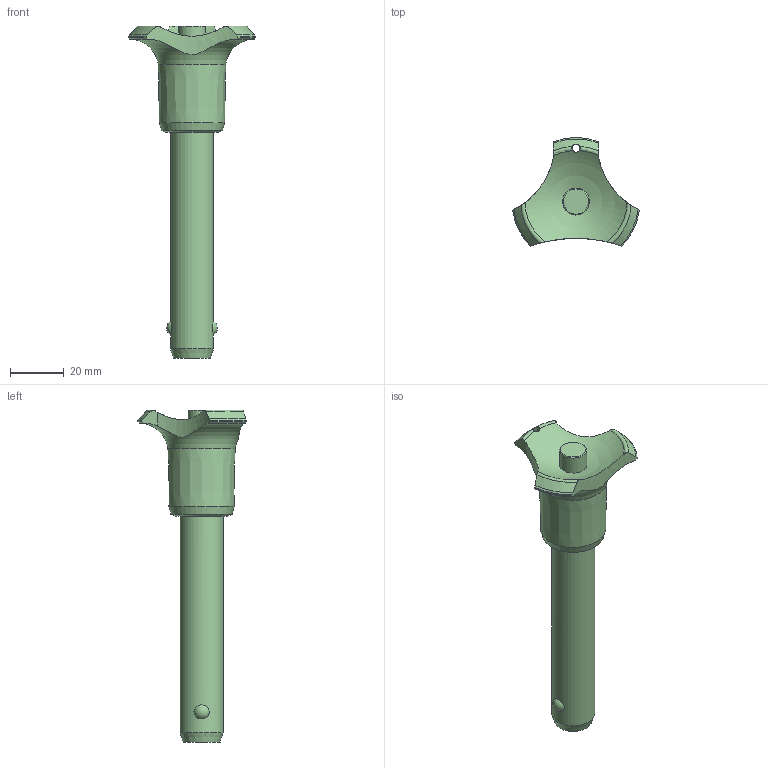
import cadquery as cq
import math


handle_width_x = 47.27
handle_width_y = 40.5
total_length = 123.7
handle_height = 39.6
shank_length = total_length - handle_height

shank_radius = 8.0
tip_radius = 6.9
tip_height = 3.4

ball_radius = 3.0
ball_reach = 9.5
ball_above_tip = 11.2
ball_z = ball_above_tip - shank_length
ball_centre_offset = ball_reach - ball_radius

barrel_top_radius = 12.55
barrel_bottom_radius = 12.15
barrel_top_depth = 14.3
barrel_top_z = handle_height - barrel_top_depth
barrel_bottom_z = 3.6
shoulder_band_radius = 11.4
shoulder_band_z = 0.8
shoulder_radius = 9.8

wing_radius = 23.85
rim_edge_inset = 0.5
rim_top_z = handle_height - 3.2
rim_land_top_z = handle_height - 3.75
rim_land_bottom_z = handle_height - 4.3
rim_bottom_z = handle_height - 4.85
flare_mid_radius = 15.0
flare_mid_z = handle_height - 8.75
lip_outer_radius = 20.6
lip_inner_radius = 19.0
lip_drop = 0.4

dish_floor_radius = 5.0
dish_floor_z = handle_height - 7.2
dish_mid_radius = 12.5
dish_mid_z = handle_height - 4.4

back_wing_half_width = 8.4
side_scallop_inner_y = 16.4
side_scallop_mid = (14.3, 4.1)
side_wing_tip_x = handle_width_x / 2
front_scallop_depth_y = -13.7
front_wing_tip_y = wing_radius - handle_width_y

button_radius = 5.0
button_edge_chamfer = 0.3
lanyard_hole_diameter = 3.0
lanyard_hole_y = 19.9


def make_handle_body():
    """Revolved handle: barrel, flare, bevelled rim, conical edge, lip and dish."""
    rim_edge_radius = wing_radius - rim_edge_inset
    lip_mid_radius = (lip_outer_radius + lip_inner_radius) / 2
    lip_z = handle_height - lip_drop
    profile = (
        cq.Workplane("XZ")
        .moveTo(0, 0)
        .lineTo(shoulder_radius, 0)
        .lineTo(shoulder_band_radius, shoulder_band_z)
        .lineTo(barrel_bottom_radius, barrel_bottom_z)
        .lineTo(barrel_top_radius, barrel_top_z)
        .threePointArc((flare_mid_radius, flare_mid_z), (rim_edge_radius, rim_bottom_z))
        .lineTo(wing_radius, rim_land_bottom_z)
        .lineTo(wing_radius, rim_land_top_z)
        .lineTo(rim_edge_radius, rim_top_z)
        .lineTo(lip_outer_radius, lip_z)
        .threePointArc((lip_mid_radius, handle_height), (lip_inner_radius, lip_z))
        .threePointArc((dish_mid_radius, dish_mid_z), (dish_floor_radius, dish_floor_z))
        .lineTo(0, dish_floor_z)
        .close()
    )
    return profile.revolve(360, (0, 0, 0), (0, 1, 0))


def make_wing_outline():
    """Prism over the plan outline: three wing tips joined by concave scallops."""
    back_tip_y = math.sqrt(wing_radius**2 - back_wing_half_width**2)
    side_tip_y = -math.sqrt(wing_radius**2 - side_wing_tip_x**2)
    front_tip_x = math.sqrt(wing_radius**2 - front_wing_tip_y**2)
    side_tip_angle = math.atan2(side_tip_y, side_wing_tip_x)
    front_tip_angle = math.atan2(front_wing_tip_y, front_tip_x)
    wing_mid_angle = (side_tip_angle + front_tip_angle) / 2
    wing_mid_x = wing_radius * math.cos(wing_mid_angle)
    wing_mid_y = wing_radius * math.sin(wing_mid_angle)
    scallop_mid_x, scallop_mid_y = side_scallop_mid
    return (
        cq.Workplane("XY")
        .moveTo(-back_wing_half_width, back_tip_y)
        .threePointArc((0, wing_radius), (back_wing_half_width, back_tip_y))
        .lineTo(back_wing_half_width, side_scallop_inner_y)
        .threePointArc((scallop_mid_x, scallop_mid_y), (side_wing_tip_x, side_tip_y))
        .threePointArc((wing_mid_x, wing_mid_y), (front_tip_x, front_wing_tip_y))
        .threePointArc((0, front_scallop_depth_y), (-front_tip_x, front_wing_tip_y))
        .threePointArc((-wing_mid_x, wing_mid_y), (-side_wing_tip_x, side_tip_y))
        .threePointArc((-scallop_mid_x, scallop_mid_y), (-back_wing_half_width, side_scallop_inner_y))
        .close()
        .extrude(handle_height)
    )


def make_lanyard_hole():
    """Vertical hole through the back wing."""
    return (
        cq.Workplane("XY")
        .center(0, lanyard_hole_y)
        .circle(lanyard_hole_diameter / 2)
        .extrude(handle_height)
    )


def make_button():
    """Push button rising from the dish floor to the top of the handle."""
    return (
        cq.Workplane("XY")
        .circle(button_radius)
        .extrude(handle_height)
        .faces(">Z")
        .chamfer(button_edge_chamfer)
    )


def make_shank():
    """Straight shank with a conical tip, running up into the handle."""
    profile = (
        cq.Workplane("XZ")
        .moveTo(0, -shank_length)
        .lineTo(tip_radius, -shank_length)
        .lineTo(shank_radius, tip_height - shank_length)
        .lineTo(shank_radius, barrel_bottom_z)
        .lineTo(0, barrel_bottom_z)
        .close()
    )
    return profile.revolve(360, (0, 0, 0), (0, 1, 0))


def make_ball(side):
    """Locking ball projecting from the +X (side = 1) or -X (side = -1) flank."""
    return cq.Workplane("XY").sphere(ball_radius).translate((side * ball_centre_offset, 0, ball_z))


handle = make_handle_body().intersect(make_wing_outline()).cut(make_lanyard_hole())
result = handle.union(make_button()).union(make_shank())
for ball_side in (-1, 1):
    result = result.union(make_ball(ball_side))